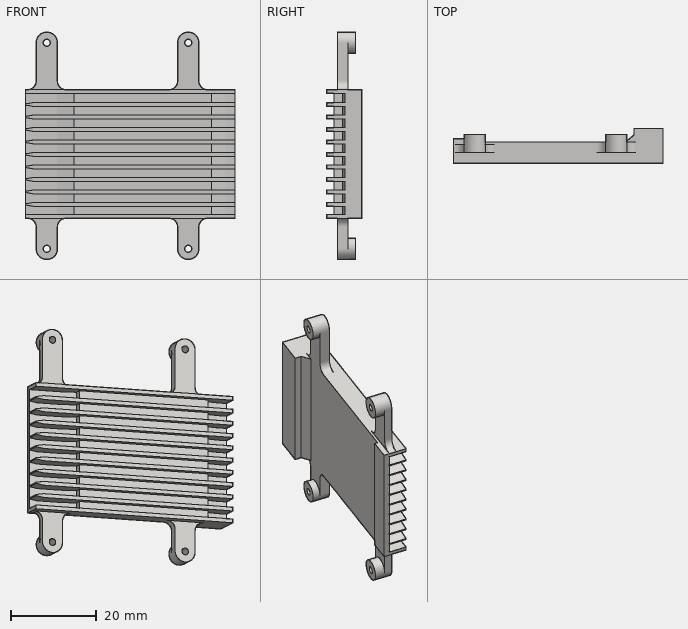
import cadquery as cq
import math

body_length = 48.85
body_height = 30.0
foot_depth = 8.15
back_depth = 5.0
left_lip_depth = 5.7
left_lip_end = 5.0
body_bottom = 9.6
overall_height = 53

fin_count = 11
fin_thickness = 0.9
fin_tip_width = 0.25
fin_taper_length = 1.85
fin_row_drop = 0.1
fin_pitch = (body_height - fin_thickness) / (fin_count - 1)

floor_depth = 1.65
end_wall_depth = 3.65
left_floor_depth = 4.35
left_ramp_start = 7.45
left_ramp_end = 11.35
right_ramp_start = 43.35
right_ramp_end = 46.65
ramp_slope = (left_floor_depth - end_wall_depth) / (left_ramp_end - left_ramp_start)
right_floor_depth = end_wall_depth + ramp_slope * (right_ramp_end - right_ramp_start)

foot_start = 42.1
foot_ramp_depth = 6.6
foot_ramp_start = 40.1

boss_diameter = 5.0
hole_diameter = 1.6
boss_front = 2.5
boss_back = 6.75
left_arm_x = 5.0
right_arm_x = 37.95
left_arm_back = left_floor_depth
right_arm_back = back_depth
boss_radius = boss_diameter / 2
lower_boss_z = boss_radius
upper_boss_z = overall_height - boss_radius
root_fillet = 2.0

body_top = body_bottom + body_height
fin_depth = max(left_floor_depth, right_floor_depth)


def make_body():
    """Solid block between the floor of the channels and the back face."""
    profile = [
        (0, 0),
        (body_length, 0),
        (body_length, foot_depth),
        (foot_start, foot_depth),
        (foot_start, foot_ramp_depth),
        (foot_ramp_start, back_depth),
        (left_lip_end, back_depth),
        (left_lip_end, left_lip_depth),
        (0, left_lip_depth),
    ]
    block = cq.Workplane("XY", origin=(0, 0, body_bottom)).polyline(profile).close()
    return block.extrude(body_height)


def make_channel_block():
    """Space in front of the channel floor, between the two side plates."""
    profile = [
        (0, 0),
        (body_length, 0),
        (body_length, right_floor_depth),
        (right_ramp_end, right_floor_depth),
        (right_ramp_start, end_wall_depth),
        (right_ramp_start, floor_depth),
        (left_ramp_end, floor_depth),
        (left_ramp_end, end_wall_depth),
        (left_ramp_start, left_floor_depth),
        (0, left_floor_depth),
    ]
    base = cq.Workplane("XY", origin=(0, 0, body_bottom + fin_thickness))
    return base.polyline(profile).close().extrude(body_height - 2 * fin_thickness)


def make_fin(center_z):
    """Inner fin with its left end tapered to a narrow edge."""
    half_thickness = fin_thickness / 2
    half_tip = fin_tip_width / 2
    outline = [
        (0, center_z - half_tip),
        (fin_taper_length, center_z - half_thickness),
        (body_length, center_z - half_thickness),
        (body_length, center_z + half_thickness),
        (fin_taper_length, center_z + half_thickness),
        (0, center_z + half_tip),
    ]
    return cq.Workplane("XZ").polyline(outline).close().extrude(-fin_depth)


def make_arm(center_x, boss_z, root_z, arm_back):
    """Arm from the body edge at root_z to a boss at boss_z, flared at its root."""
    outward = 1 if boss_z > root_z else -1
    flare_z = root_z + outward * root_fillet
    flare_half_width = boss_radius + root_fillet
    diagonal = root_fillet * (1 - math.cos(math.pi / 4))
    diagonal_z = root_z + outward * diagonal
    left = center_x - boss_radius
    right = center_x + boss_radius
    arm = (
        cq.Workplane("XZ", origin=(0, boss_front, 0))
        .moveTo(center_x - flare_half_width, root_z)
        .threePointArc((left - diagonal, diagonal_z), (left, flare_z))
        .lineTo(left, boss_z)
        .lineTo(right, boss_z)
        .lineTo(right, flare_z)
        .threePointArc((right + diagonal, diagonal_z), (center_x + flare_half_width, root_z))
        .close()
        .extrude(boss_front - arm_back)
    )
    boss_plane = cq.Workplane("XZ", origin=(center_x, boss_front, boss_z))
    boss = boss_plane.circle(boss_radius).extrude(boss_front - boss_back)
    hole = boss_plane.circle(hole_diameter / 2).extrude(boss_front - boss_back)
    return arm.union(boss).cut(hole)


channels = make_channel_block()
first_fin_z = body_bottom + fin_thickness / 2 - fin_row_drop
for index in range(1, fin_count - 1):
    channels = channels.cut(make_fin(first_fin_z + index * fin_pitch))

result = make_body().cut(channels)
for arm_x, arm_back in ((left_arm_x, left_arm_back), (right_arm_x, right_arm_back)):
    result = result.union(make_arm(arm_x, lower_boss_z, body_bottom, arm_back))
    result = result.union(make_arm(arm_x, upper_boss_z, body_top, arm_back))